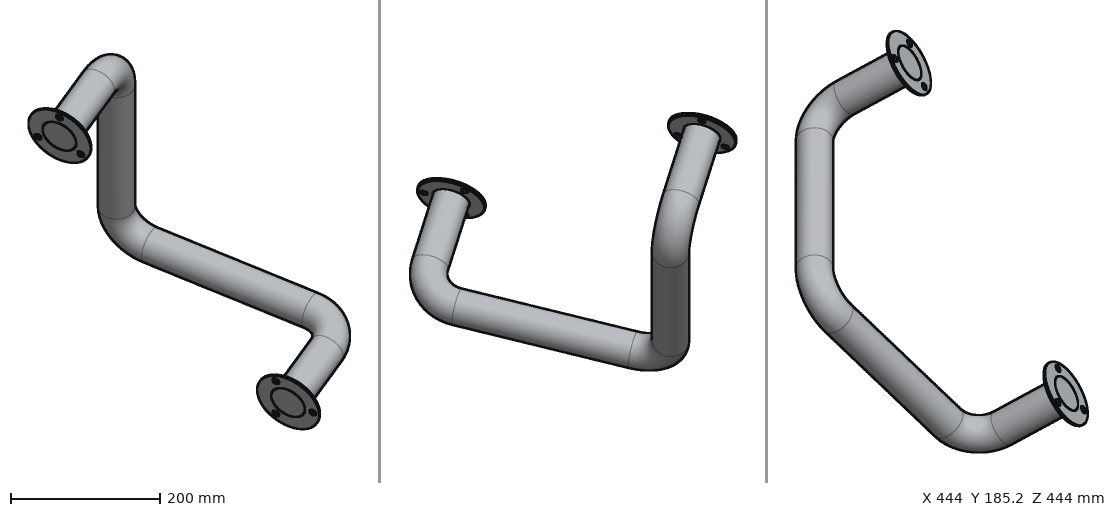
import cadquery as cq
import math

overall_width = 444.0
overall_depth = 185.2

rail_diameter = 50.5
bend_radius = 52.0

flange_diameter = 95.0
flange_thickness = 4.0
flange_chamfer = 1.2
flange_bore_diameter = 52.0
screw_hole_diameter = 10.0
screw_circle_radius = 37.8
screw_hole_count = 3

leg_offset = (overall_width - flange_diameter) / 2
rail_y = overall_depth - rail_diameter / 2

flange_places = [
    (-leg_offset, leg_offset, 90),
    (leg_offset, -leg_offset, 0),
]


def make_rail():
    """Solid round rail: two legs and two long runs, joined by three equal bends."""
    inset = bend_radius * (1 - math.sqrt(0.5))
    near_corner = leg_offset - inset
    near_rail_y = rail_y - inset
    bend_start = leg_offset - bend_radius
    leg_end_y = rail_y - bend_radius

    edges = [
        cq.Edge.makeLine(
            cq.Vector(-leg_offset, 0, leg_offset),
            cq.Vector(-leg_offset, leg_end_y, leg_offset),
        ),
        cq.Edge.makeThreePointArc(
            cq.Vector(-leg_offset, leg_end_y, leg_offset),
            cq.Vector(-leg_offset, near_rail_y, near_corner),
            cq.Vector(-leg_offset, rail_y, bend_start),
        ),
        cq.Edge.makeLine(
            cq.Vector(-leg_offset, rail_y, bend_start),
            cq.Vector(-leg_offset, rail_y, -bend_start),
        ),
        cq.Edge.makeThreePointArc(
            cq.Vector(-leg_offset, rail_y, -bend_start),
            cq.Vector(-near_corner, rail_y, -near_corner),
            cq.Vector(-bend_start, rail_y, -leg_offset),
        ),
        cq.Edge.makeLine(
            cq.Vector(-bend_start, rail_y, -leg_offset),
            cq.Vector(bend_start, rail_y, -leg_offset),
        ),
        cq.Edge.makeThreePointArc(
            cq.Vector(bend_start, rail_y, -leg_offset),
            cq.Vector(near_corner, near_rail_y, -leg_offset),
            cq.Vector(leg_offset, leg_end_y, -leg_offset),
        ),
        cq.Edge.makeLine(
            cq.Vector(leg_offset, leg_end_y, -leg_offset),
            cq.Vector(leg_offset, 0, -leg_offset),
        ),
    ]
    path = cq.Workplane(cq.Wire.assembleEdges(edges))
    profile = cq.Workplane("XZ", origin=(-leg_offset, 0, leg_offset)).circle(rail_diameter / 2)
    return profile.sweep(path)


def make_flange(center_x, center_z, first_hole_angle):
    """Flat ring around a rail end, with screw holes on a circle."""
    face = cq.Workplane("XZ", origin=(center_x, 0, center_z))
    disc = (
        face.circle(flange_diameter / 2)
        .extrude(-flange_thickness)
        .faces(">Y")
        .chamfer(flange_chamfer)
    )
    bore = face.circle(flange_bore_diameter / 2).extrude(-flange_thickness)
    screw_holes = (
        face.polarArray(screw_circle_radius, first_hole_angle, 360, screw_hole_count)
        .circle(screw_hole_diameter / 2)
        .extrude(-flange_thickness)
    )
    return disc.cut(bore).cut(screw_holes)


rail = make_rail()
flanges = [make_flange(x, z, angle) for x, z, angle in flange_places]

result = cq.Compound.makeCompound([rail.val(), *[flange.val() for flange in flanges]])